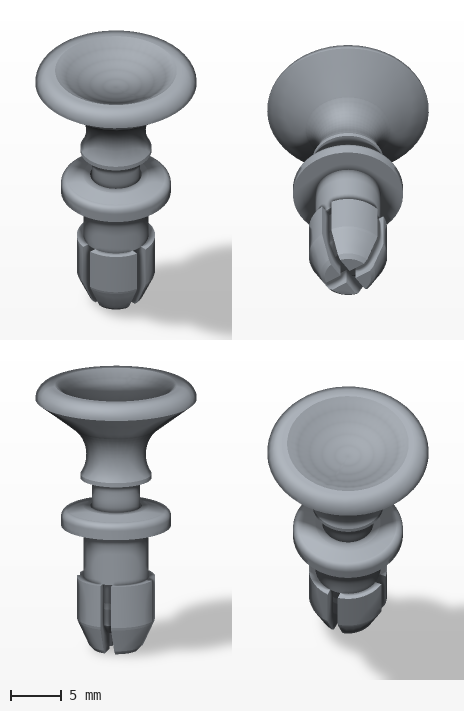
import cadquery as cq
import math


total_height = 27.1
head_radius = 8.0
rim_round = 1.44
dish_radius = 6.02
dish_depth = 2.0
cone_bottom_z = 22.68
cone_bottom_radius = 4.17
waist_z = 20.15
waist_radius = 2.95
collar_top_z = 17.97
collar_bottom_z = 17.53
collar_radius = 3.52

pin_radius = 2.38
bore_radius = 2.55
pin_step_top_z = 5.2
pin_step_bottom_z = 4.63
pin_tip_top_z = 2.95
pin_tip_z = 1.95
pin_tip_radius = bore_radius - (pin_tip_top_z - pin_tip_z)

flange_radius = 5.45
flange_bottom_z = 12.65
flange_edge_z = 13.58
flange_slope_radius = 4.8
flange_slope_z = 14.28
flange_top_z = 14.65
tube_radius = 3.22

prong_top_z = 7.37
prong_radius = 3.88
prong_round_top_z = 3.15
prong_round_bottom_z = 2.87
prong_round_bottom_radius = 3.8
prong_toe_z = 0.4
prong_toe_radius = 2.68
prong_bottom_radius = 2.3
slot_width = 1.08


def quarter_round_middle(inner_radius, top_z, outer_radius, bottom_z):
    """Middle point of a convex quarter round between its top and its outer end."""
    middle_radius = inner_radius + (outer_radius - inner_radius) * math.sin(math.pi / 4)
    middle_z = bottom_z + (top_z - bottom_z) * math.cos(math.pi / 4)
    return (middle_radius, middle_z)


def revolve_profile(profile):
    """Close a radius/height profile and turn it about the Z axis."""
    return profile.close().revolve(360, (0, 0, 0), (0, 1, 0))


def make_knob():
    """Dished head, waisted neck, collar and pin, turned as one body."""
    rim_inner_radius = head_radius - rim_round
    rim_bottom_z = total_height - rim_round
    sphere_radius = (dish_radius**2 + dish_depth**2) / (2 * dish_depth)
    dish_bottom_z = total_height - dish_depth
    dish_middle_radius = dish_radius / 2
    dish_middle_z = dish_bottom_z + sphere_radius - math.sqrt(sphere_radius**2 - dish_middle_radius**2)
    profile = (
        cq.Workplane("XZ")
        .moveTo(0, pin_tip_z)
        .lineTo(pin_tip_radius, pin_tip_z)
        .lineTo(bore_radius, pin_tip_top_z)
        .lineTo(bore_radius, pin_step_bottom_z)
        .lineTo(pin_radius, pin_step_top_z)
        .lineTo(pin_radius, collar_bottom_z)
        .lineTo(collar_radius, collar_bottom_z)
        .lineTo(collar_radius, collar_top_z)
        .threePointArc((waist_radius, waist_z), (cone_bottom_radius, cone_bottom_z))
        .lineTo(head_radius, rim_bottom_z)
        .threePointArc(
            quarter_round_middle(rim_inner_radius, total_height, head_radius, rim_bottom_z),
            (rim_inner_radius, total_height),
        )
        .lineTo(dish_radius, total_height)
        .threePointArc((dish_middle_radius, dish_middle_z), (0, dish_bottom_z))
    )
    return revolve_profile(profile)


def make_sleeve_blank():
    """Flange, tube and tapered foot around a blind bore that ends on the pin tip."""
    profile = (
        cq.Workplane("XZ")
        .lineTo(prong_bottom_radius, 0)
        .lineTo(prong_toe_radius, prong_toe_z)
        .lineTo(prong_round_bottom_radius, prong_round_bottom_z)
        .lineTo(prong_radius, prong_round_top_z)
        .lineTo(prong_radius, prong_top_z)
        .lineTo(tube_radius, prong_top_z)
        .lineTo(tube_radius, flange_bottom_z)
        .lineTo(flange_radius, flange_bottom_z)
        .lineTo(flange_radius, flange_edge_z)
        .threePointArc(
            quarter_round_middle(flange_slope_radius, flange_slope_z, flange_radius, flange_edge_z),
            (flange_slope_radius, flange_slope_z),
        )
        .lineTo(tube_radius, flange_top_z)
        .lineTo(bore_radius, flange_top_z)
        .lineTo(bore_radius, pin_tip_top_z)
        .lineTo(pin_tip_radius, pin_tip_z)
        .lineTo(0, pin_tip_z)
    )
    return revolve_profile(profile)


def make_slot(angle):
    """Cutter for one slot across the foot, turned about the Z axis."""
    slot = cq.Workplane("XY").box(2 * prong_radius, slot_width, prong_top_z, centered=(True, True, False))
    return slot.rotate((0, 0, 0), (0, 0, 1), angle)


def make_sleeve():
    """Sleeve with two crossed slots that split its foot into four prongs."""
    sleeve = make_sleeve_blank()
    for angle in (0, 90):
        sleeve = sleeve.cut(make_slot(angle))
    return sleeve


knob = make_knob()
sleeve = make_sleeve()
result = cq.Compound.makeCompound([knob.val(), *sleeve.vals()])